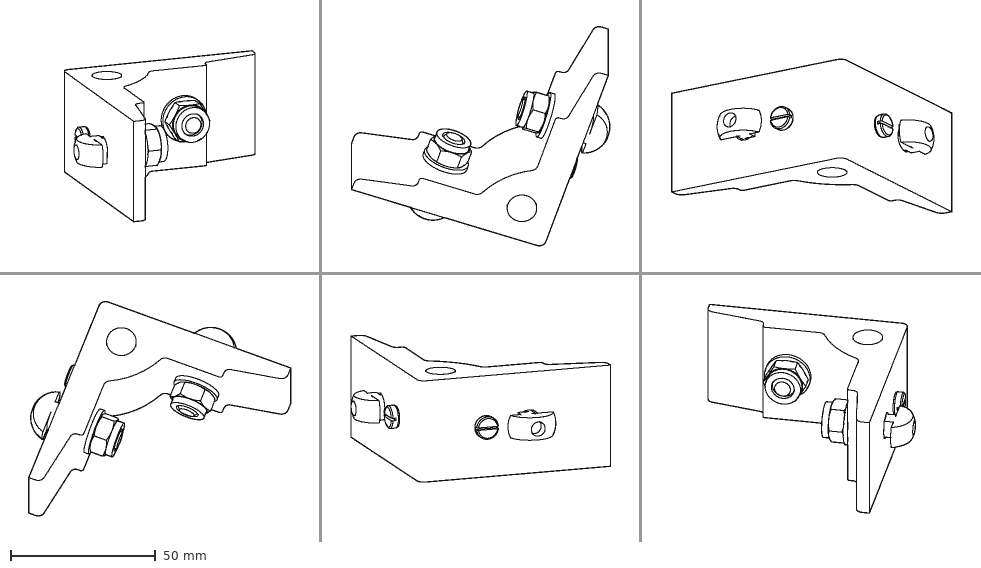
import cadquery as cq
import math

leg_length = 70.0
bracket_height = 36.0
pad_thickness = 12.0
pad_end = 49.1
tip_thickness = 4.6
taper_angle = 10.0
tip_radius = 2.5
outer_corner_radius = 2.5
web_radius = 30.0
web_blend_radius = 2.5
step_root_radius = 2.0
step_edge_radius = 1.0
pivot_diameter = 10.2

screw_position = 24.0
bolt_position = 40.0

bolt_diameter = 8.0
bolt_clearance_diameter = 9.0
head_gap = 3.3
head_height = 6.55
head_sphere_radius = 9.0
head_width = 8.0
head_pit_diameter = 5.0
head_pit_depth = 4.0
head_pit_point_angle = 118.0
bolt_end_projection = 0.55
bolt_end_diameter = 5.6
bolt_end_chamfer_length = 2.1

washer_diameter = 16.05
washer_bore_diameter = 8.4
washer_thickness = 1.6

nut_corner_diameter = 15.0
nut_hexagon_height = 5.6
nut_height = 8.0
nut_collar_diameter = 12.45
nut_chamfer_diameter = 13.0
nut_chamfer_angle = 30.0

screw_diameter = 8.0
screw_height = 3.0
screw_edge_chamfer = 0.5
screw_base_radius_drop = 0.2
screw_base_chamfer_height = 0.55
slot_width = 0.9
slot_depth = 1.6

nut_base = pad_thickness + washer_thickness
bolt_end = nut_base + nut_height + bolt_end_projection


def y_cylinder(diameter, start, length):
    """Cylinder on the Y axis from Y = start, growing towards +Y."""
    return cq.Workplane("XZ", origin=(0, start, 0)).circle(diameter / 2).extrude(-length)


def revolved(profile):
    """Solid of revolution about Y from (radius, y) corners."""
    return cq.Workplane("XY").polyline(profile).close().revolve(360, (0, 0), (0, 1))


def place_on_x_leg(body, position):
    return body.translate((position, 0, 0))


def place_on_y_leg(body, position):
    return body.rotate((0, 0, 0), (0, 0, 1), -90).translate((0, position, 0))


def on_both_legs(body, position):
    return [place_on_x_leg(body, position), place_on_y_leg(body, position)]


def make_bracket():
    step_thickness = tip_thickness + (leg_length - pad_end) * math.tan(math.radians(taper_angle))
    web_start = math.sqrt(web_radius**2 - pad_thickness**2)
    web_middle = web_radius * math.sqrt(0.5)
    body = (
        cq.Workplane("XY", origin=(0, 0, -bracket_height / 2))
        .moveTo(0, 0)
        .lineTo(leg_length, 0)
        .lineTo(leg_length, tip_thickness)
        .lineTo(pad_end, step_thickness)
        .lineTo(pad_end, pad_thickness)
        .lineTo(web_start, pad_thickness)
        .threePointArc((web_middle, web_middle), (pad_thickness, web_start))
        .lineTo(pad_thickness, pad_end)
        .lineTo(step_thickness, pad_end)
        .lineTo(tip_thickness, leg_length)
        .lineTo(0, leg_length)
        .close()
        .extrude(bracket_height)
    )

    def edges_at(x, y):
        """The upright edges at (x, y) and at its mirror image on the other leg."""
        return cq.selectors.BoxSelector((x - 0.1, y - 0.1, -0.8), (x + 0.1, y + 0.1, 0.8)) + \
            cq.selectors.BoxSelector((y - 0.1, x - 0.1, -0.8), (y + 0.1, x + 0.1, 0.8))

    body = body.edges(edges_at(0, 0)).fillet(outer_corner_radius)
    body = body.edges(edges_at(web_start, pad_thickness)).fillet(web_blend_radius)
    body = body.edges(edges_at(pad_end, step_thickness)).fillet(step_root_radius)
    body = body.edges(edges_at(pad_end, pad_thickness)).fillet(step_edge_radius)
    body = body.edges(edges_at(leg_length, tip_thickness)).fillet(tip_radius)

    pivot_hole = (
        cq.Workplane("XY", origin=(pad_thickness, pad_thickness, -bracket_height / 2))
        .circle(pivot_diameter / 2)
        .extrude(bracket_height)
    )
    body = body.cut(pivot_hole)
    for hole in on_both_legs(y_cylinder(bolt_clearance_diameter, 0, pad_thickness), bolt_position):
        body = body.cut(hole)
    return body


def make_bolt():
    pit_radius = head_pit_diameter / 2
    underside = -head_gap
    rim = underside - head_height
    sphere_centre = rim + math.sqrt(head_sphere_radius**2 - pit_radius**2)
    underside_radius = math.sqrt(head_sphere_radius**2 - (sphere_centre - underside)**2)
    arc_middle = (head_sphere_radius * math.sqrt(0.5), sphere_centre - head_sphere_radius * math.sqrt(0.5))
    pit_floor = rim + head_pit_depth
    pit_tip = pit_floor + pit_radius / math.tan(math.radians(head_pit_point_angle / 2))
    cap = (
        cq.Workplane("XY")
        .moveTo(0, underside)
        .lineTo(0, pit_tip)
        .lineTo(pit_radius, pit_floor)
        .lineTo(pit_radius, rim)
        .threePointArc(arc_middle, (underside_radius, underside))
        .close()
        .revolve(360, (0, 0), (0, 1))
    )
    slab = cq.Workplane("XY").box(
        2 * head_sphere_radius, 2 * head_height, head_width
    ).translate((0, underside - head_height, 0))
    head = cap.intersect(slab)

    radius = bolt_diameter / 2
    arc_point = radius * math.sqrt(0.5)
    neck = (
        cq.Workplane("XZ", origin=(0, underside, 0))
        .moveTo(radius, 0)
        .threePointArc((arc_point, arc_point), (0, radius))
        .lineTo(-radius, radius)
        .lineTo(-radius, 0)
        .threePointArc((-arc_point, -arc_point), (0, -radius))
        .lineTo(radius, -radius)
        .close()
        .extrude(-head_gap)
    )

    end_radius = bolt_end_diameter / 2
    shank = revolved([
        (0, 0),
        (radius, 0),
        (radius, bolt_end - bolt_end_chamfer_length),
        (end_radius, bolt_end),
        (0, bolt_end),
    ])
    return head.union(neck).union(shank)


def make_washer():
    ring = y_cylinder(washer_diameter, pad_thickness, washer_thickness)
    return ring.cut(y_cylinder(washer_bore_diameter, pad_thickness, washer_thickness))


def make_nut():
    hexagon = (
        cq.Workplane("XZ", origin=(0, nut_base, 0))
        .polygon(6, nut_corner_diameter)
        .extrude(-nut_hexagon_height)
    )
    corner_radius = nut_corner_diameter / 2
    face_radius = nut_chamfer_diameter / 2
    bevel = (corner_radius - face_radius) * math.tan(math.radians(nut_chamfer_angle))
    hexagon_top = nut_base + nut_hexagon_height
    envelope = revolved([
        (0, nut_base),
        (face_radius, nut_base),
        (corner_radius, nut_base + bevel),
        (corner_radius, hexagon_top - bevel),
        (face_radius, hexagon_top),
        (0, hexagon_top),
    ])
    collar = y_cylinder(nut_collar_diameter, hexagon_top, nut_height - nut_hexagon_height)
    return hexagon.intersect(envelope).union(collar).cut(y_cylinder(bolt_diameter, nut_base, nut_height))


def make_screw():
    head = y_cylinder(screw_diameter, -screw_height, screw_height)
    head = head.faces("<Y").chamfer(screw_edge_chamfer)
    head = head.faces(">Y").chamfer(screw_base_chamfer_height, screw_base_radius_drop)
    slot = cq.Workplane("XY").box(screw_diameter, slot_depth, slot_width).translate(
        (0, slot_depth / 2 - screw_height, 0)
    )
    return head.cut(slot)


bracket = make_bracket()
bolts = on_both_legs(make_bolt(), bolt_position)
washers = on_both_legs(make_washer(), bolt_position)
nuts = on_both_legs(make_nut(), bolt_position)
screws = on_both_legs(make_screw(), screw_position)

fasteners = bolts + washers + nuts + screws
result = cq.Compound.makeCompound([bracket.val()] + [body.val() for body in fasteners])